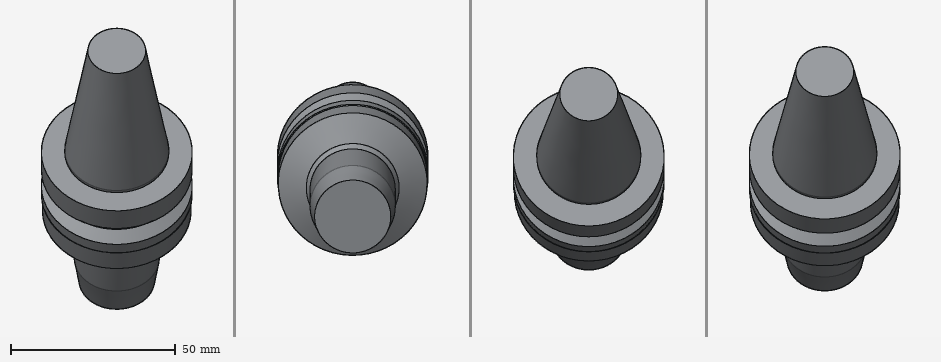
import cadquery as cq
import math

TAPER_GAUGE_DIAMETER = 31.75
TAPER_RATIO = 7 / 24
FLANGE_DIAMETER = 46.0
GROOVE_DIAMETER = 38.0
COLLAR_DIAMETER = 45.4
SHOULDER_DIAMETER = 28.3
NOSE_DIAMETER = 26.0
NOSE_TIP_DIAMETER = 23.2

TAPER_LENGTH = 48.4
NECK_LENGTH = 1.0
FLANGE_BOTTOM_Z = -21.6
GROOVE_CENTER_Z = -13.5
GROOVE_FLOOR_WIDTH = 3.2
GROOVE_FLANK_ANGLE = 30
COLLAR_BOTTOM_Z = -29.6
SHOULDER_Z = -33.6
NOSE_TOP_Z = -35.4
NOSE_TAPER_Z = -52.8
NOSE_TIP_Z = -63.5


def holder_profile():
    """Half section in the XZ plane, drawn from the taper tip to the nose tip."""
    taper_tip_diameter = TAPER_GAUGE_DIAMETER - TAPER_RATIO * TAPER_LENGTH
    groove_depth = (FLANGE_DIAMETER - GROOVE_DIAMETER) / 2
    flank_height = groove_depth * math.tan(math.radians(GROOVE_FLANK_ANGLE))
    groove_floor_top = GROOVE_CENTER_Z + GROOVE_FLOOR_WIDTH / 2
    groove_floor_bottom = GROOVE_CENTER_Z - GROOVE_FLOOR_WIDTH / 2
    collar_top = FLANGE_BOTTOM_Z - (FLANGE_DIAMETER - COLLAR_DIAMETER) / 2
    outline = [
        (taper_tip_diameter, TAPER_LENGTH),
        (TAPER_GAUGE_DIAMETER, 0),
        (TAPER_GAUGE_DIAMETER, -NECK_LENGTH),
        (FLANGE_DIAMETER, -NECK_LENGTH),
        (FLANGE_DIAMETER, groove_floor_top + flank_height),
        (GROOVE_DIAMETER, groove_floor_top),
        (GROOVE_DIAMETER, groove_floor_bottom),
        (FLANGE_DIAMETER, groove_floor_bottom - flank_height),
        (FLANGE_DIAMETER, FLANGE_BOTTOM_Z),
        (COLLAR_DIAMETER, collar_top),
        (COLLAR_DIAMETER, COLLAR_BOTTOM_Z),
        (SHOULDER_DIAMETER, SHOULDER_Z),
        (NOSE_DIAMETER, NOSE_TOP_Z),
        (NOSE_DIAMETER, NOSE_TAPER_Z),
        (NOSE_TIP_DIAMETER, NOSE_TIP_Z),
    ]
    section = cq.Workplane("XZ").moveTo(0, TAPER_LENGTH)
    for diameter, z in outline:
        section = section.lineTo(diameter / 2, z)
    return section.lineTo(0, NOSE_TIP_Z).close()


result = holder_profile().revolve(360, (0, 0, 0), (0, 1, 0))